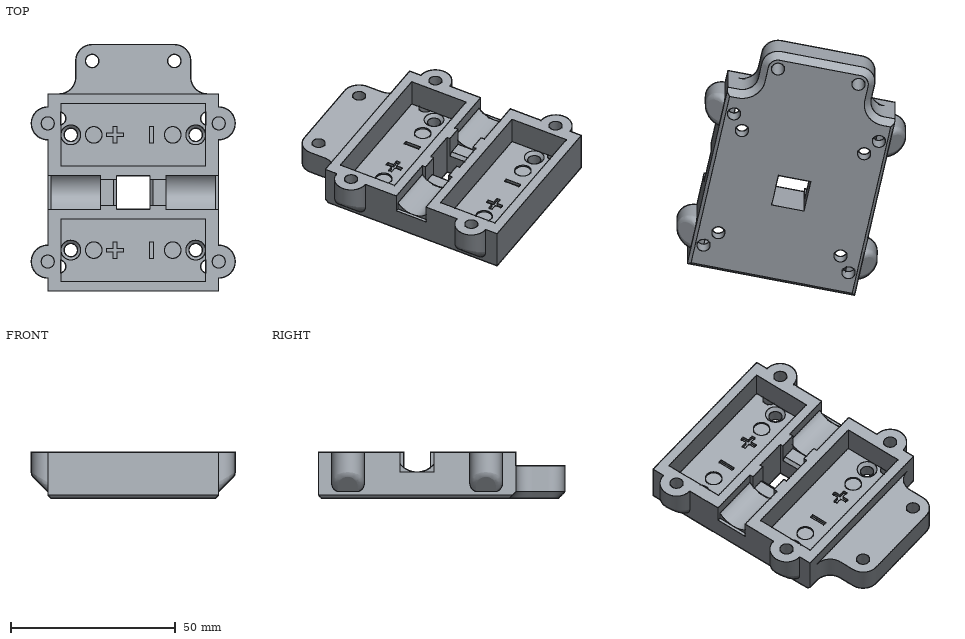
import cadquery as cq
import math

overall_width = 62.0
body_length = 60.0
height = 14.0
base_chamfer = 1.0
screw_hole = 4.0

lug_radius = 5.0
lug_y = 21.0
lug_slope_foot = 2.0
lug_blend = 2.0
lug_hole_depth = 8.0

body_width = overall_width - 2 * lug_radius
half_width = body_width / 2
half_length = body_length / 2

tab_reach = 15.0
tab_width = 35.0
tab_thickness = 10.0
tab_radius = 5.0
tab_chamfer = 2.0

floor_thickness = 5.0
end_wall = 3.0
pocket_width = 44.0
pocket_length = 19.0
pocket_y = half_length - end_wall - pocket_length / 2

countersunk_x = 19.0
countersink_diameter = 6.0
contact_x = 12.0
contact_diameter = 5.0
mark_x = 5.55
mark_length = 5.0
mark_width = 1.1
contact_depth = 0.5
mark_depth = 1.0
corner_hole_offset = 22.5

channel_width = 10.35
channel_floor = 8.0
cradle_edge_height = 10.5
cradle_inner_x = 10.0
end_ledge = 1.0
neck_width = 8.0
neck_floor = 7.9
neck_chamfer = 1.0
window = 10.05


def block(x_min, x_max, width, z_min, z_max):
    """Box spanning x_min..x_max and z_min..z_max, centred on Y = 0."""
    corner = cq.Workplane("XY", origin=(x_min, 0, z_min))
    return corner.box(x_max - x_min, width, z_max - z_min, centered=(False, True, False))


def drill(points, diameter, z_min, z_max):
    """Round vertical holes at the given points."""
    plane = cq.Workplane("XY", origin=(0, 0, z_min))
    return plane.pushPoints(points).circle(diameter / 2).extrude(z_max - z_min)


def make_base():
    """Body block and flared tab with their chamfered underside."""
    body = block(-half_width, half_width, body_length, 0, height)
    half_tab = tab_width / 2
    tip = half_length + tab_reach
    flare = half_tab + tab_radius
    bend = tab_radius * (1 - math.sqrt(0.5))
    tab = (
        cq.Workplane("XY")
        .moveTo(-flare, half_length)
        .threePointArc((-half_tab - bend, half_length + bend), (-half_tab, half_length + tab_radius))
        .lineTo(-half_tab, tip - tab_radius)
        .threePointArc((-half_tab + bend, tip - bend), (-half_tab + tab_radius, tip))
        .lineTo(half_tab - tab_radius, tip)
        .threePointArc((half_tab - bend, tip - bend), (half_tab, tip - tab_radius))
        .lineTo(half_tab, half_length + tab_radius)
        .threePointArc((half_tab + bend, half_length + bend), (flare, half_length))
        .lineTo(flare, 0)
        .lineTo(-flare, 0)
        .close()
        .extrude(tab_thickness)
    )
    base = body.union(tab)
    tab_end = cq.selectors.BoxSelector(
        (-body_width, half_length / 2, -height), (body_width, 2 * tip, height)
    )
    base = base.faces("<Z").edges(tab_end).chamfer(tab_chamfer)
    body_sides = cq.selectors.BoxSelector(
        (-body_width, -body_length, -height), (body_width, half_length / 2, height)
    )
    return base.faces("<Z").edges(body_sides).chamfer(base_chamfer)


def make_lug():
    """Half-round lug on the +X side at Y = 0, with a sloped underside blended into its round wall."""
    tip = half_width + lug_radius
    profile = (
        cq.Workplane("XZ")
        .moveTo(half_width, lug_slope_foot)
        .lineTo(tip, lug_slope_foot + lug_radius)
        .lineTo(tip, height)
        .lineTo(half_width, height)
        .close()
        .extrude(2 * lug_radius, both=True)
    )
    lug = profile.intersect(drill([(half_width, 0)], 2 * lug_radius, 0, height))
    underside = lug.faces(cq.selectors.DirectionNthSelector(cq.Vector(1, 0, -1), -1))
    return underside.edges("not |Y").fillet(lug_blend)


def make_pocket():
    """Cutter for the +Y pocket and the recesses and holes in its floor."""
    floor = cq.Workplane("XY", origin=(0, pocket_y, floor_thickness))
    cutter = floor.rect(pocket_width, pocket_length).extrude(height - floor_thickness)
    screws = [(-countersunk_x, pocket_y), (countersunk_x, pocket_y)]
    cutter = cutter.union(drill(screws, screw_hole, 0, floor_thickness))
    sink_depth = (countersink_diameter - screw_hole) / 2
    for x, y in screws:
        sink = cq.Solid.makeCone(
            screw_hole / 2,
            countersink_diameter / 2,
            sink_depth,
            pnt=cq.Vector(x, y, floor_thickness - sink_depth),
        )
        cutter = cutter.union(cq.Workplane(obj=sink))

    corners = [(-corner_hole_offset, corner_hole_offset), (corner_hole_offset, corner_hole_offset)]
    cutter = cutter.union(drill(corners, screw_hole, 0, floor_thickness))

    contact_bottom = floor_thickness - contact_depth
    contacts = [(-contact_x, pocket_y), (contact_x, pocket_y)]
    return cutter.union(drill(contacts, contact_diameter, contact_bottom, floor_thickness))


def make_marks():
    """Cutter for the plus and minus bars engraved in the +Y pocket floor."""
    plane = cq.Workplane("XY", origin=(0, pocket_y, floor_thickness - mark_depth))
    plus_upright = plane.center(-mark_x, 0).rect(mark_width, mark_length).extrude(mark_depth)
    plus_cross = plane.center(-mark_x, 0).rect(mark_length, mark_width).extrude(mark_depth)
    minus = plane.center(mark_x, 0).rect(mark_width, mark_length).extrude(mark_depth)
    return plus_upright.union(plus_cross).union(minus)


def make_channel():
    """Cutter for the +X half of the cable channel, from the window to the body side."""
    half_channel = channel_width / 2
    cradle = (
        cq.Workplane("YZ", origin=(cradle_inner_x, 0, 0))
        .moveTo(-half_channel, height)
        .lineTo(-half_channel, cradle_edge_height)
        .threePointArc((0, channel_floor), (half_channel, cradle_edge_height))
        .lineTo(half_channel, height)
        .close()
        .extrude(half_width - cradle_inner_x)
    )
    ledge = block(half_width - end_ledge, half_width, channel_width, channel_floor, height)
    neck = (
        cq.Workplane("XZ")
        .moveTo(0, height)
        .lineTo(0, neck_floor - neck_chamfer)
        .lineTo(window / 2, neck_floor - neck_chamfer)
        .lineTo(window / 2 + neck_chamfer, neck_floor)
        .lineTo(cradle_inner_x, neck_floor)
        .lineTo(cradle_inner_x, height)
        .close()
        .extrude(neck_width / 2, both=True)
    )
    return cradle.union(ledge).union(neck)


result = make_base()

lug = make_lug()
for y in (-lug_y, lug_y):
    placed = lug.translate((0, y, 0))
    result = result.union(placed).union(placed.mirror("YZ"))
lug_holes = [(x, y) for x in (-half_width, half_width) for y in (-lug_y, lug_y)]
result = result.cut(drill(lug_holes, screw_hole, height - lug_hole_depth, height))

tab_hole_x = tab_width / 2 - tab_radius
tab_hole_y = half_length + tab_reach - tab_radius
tab_holes = [(-tab_hole_x, tab_hole_y), (tab_hole_x, tab_hole_y)]
result = result.cut(drill(tab_holes, screw_hole, 0, tab_thickness))

pocket = make_pocket()
marks = make_marks()
result = result.cut(pocket).cut(pocket.mirror("XZ"))
result = result.cut(marks).cut(marks.mirror("XZ"))

channel = make_channel()
result = result.cut(channel).cut(channel.mirror("YZ"))
result = result.cut(block(-window / 2, window / 2, window, 0, height))